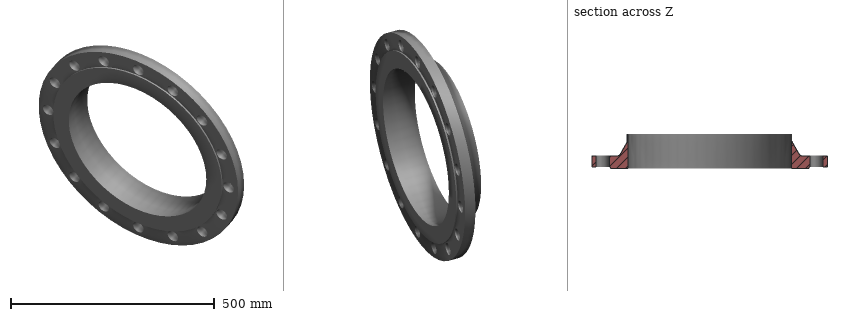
import cadquery as cq
import math

flange_diameter = 580.0
total_length = 85.0
bore_diameter = 400.0

plate_thickness = 28.0
face_diameter = 490.0
face_height = 4.0

neck_diameter = 406.5
neck_land = 16.0
taper_angle = math.radians(30)
blend_radius = 12.0

bolt_count = 16
bolt_circle_diameter = 525.0
bolt_hole_diameter = 31.0

selection_margin = 0.5

plate_back = face_height + plate_thickness
taper_end = total_length - neck_land - blend_radius * math.tan(taper_angle / 2)

taper_base_radius = neck_diameter / 2 + (taper_end - plate_back) * math.tan(taper_angle)


def disc(diameter, start, length):
    """Cylinder on the flange axis, growing towards +Y."""
    plane = cq.Plane(origin=(0, start, 0), xDir=(1, 0, 0), normal=(0, 1, 0))
    return cq.Workplane(plane).circle(diameter / 2).extrude(length)


def flange_body():
    """Solid of revolution with the neck blended at both ends of its taper."""
    profile = [
        (0, 0),
        (face_diameter / 2, 0),
        (face_diameter / 2, face_height),
        (flange_diameter / 2, face_height),
        (flange_diameter / 2, plate_back),
        (taper_base_radius, plate_back),
        (neck_diameter / 2, taper_end),
        (neck_diameter / 2, total_length),
        (0, total_length),
    ]
    body = cq.Workplane("XY").polyline(profile).close().revolve(360, (0, 0, 0), (0, 1, 0))
    for radius, position in ((taper_base_radius, plate_back), (neck_diameter / 2, taper_end)):
        reach = radius + selection_margin
        corner = cq.selectors.BoxSelector(
            (-reach, position - selection_margin, -reach),
            (reach, position + selection_margin, reach),
            boundingbox=True,
        )
        body = body.edges(corner).fillet(blend_radius)
    return body


def bolt_holes():
    """Ring of through holes, the first one on the +X axis."""
    plane = cq.Plane(origin=(0, 0, 0), xDir=(1, 0, 0), normal=(0, 1, 0))
    ring = cq.Workplane(plane).polarArray(bolt_circle_diameter / 2, 0, 360, bolt_count)
    return ring.circle(bolt_hole_diameter / 2).extrude(plate_back)


bore = disc(bore_diameter, 0, total_length)
result = flange_body().cut(bore).cut(bolt_holes())